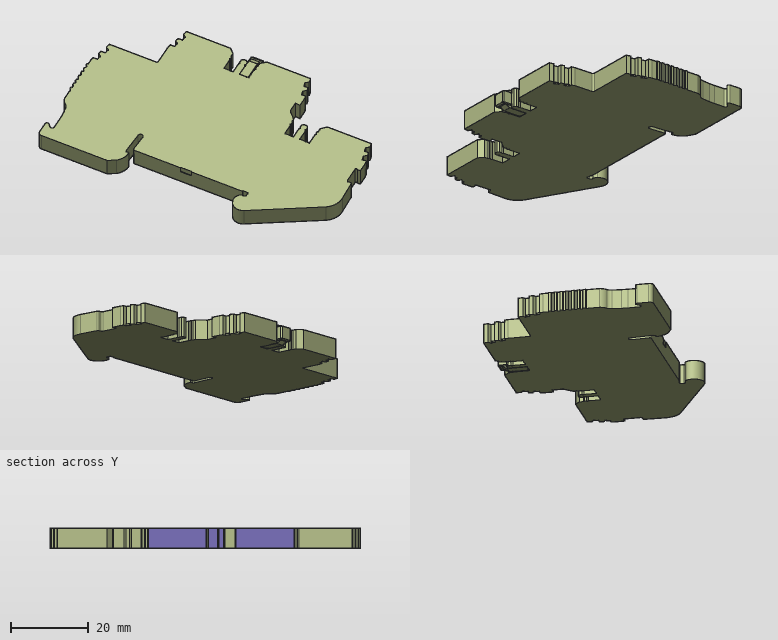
import cadquery as cq
import math


LENGTH = 79.8
HEIGHT = 49.7
THICKNESS = 5.2
MARGIN = 1.6

UPPER_DECK = 49.0
LOWER_DECK = 36.1
UPPER_LEFT = 16.1
UPPER_RIGHT = 55.45
LOWER_LEFT = 0.5
LOWER_RIGHT = 79.55
DECK_CORNER_RADIUS = 0.4

RAIL_SEAT = 6.3
RAIL_LEFT = 24.25
RAIL_RIGHT = 57.4
RAIL_CORNER_RADIUS = 0.4
NOSE_RADIUS = 2.8
NOSE_X = 57.8
NOSE_LIFT = 0.15
NOSE_Y = NOSE_RADIUS + NOSE_LIFT
NOSE_END_ANGLE = math.radians(145)
SLOPE_ANGLE = math.radians(30.5)

SLOT_DEPTH_TO_RIB = 5.0
SLOT_MOUTH_HEIGHT = 4.3
SLOT_MOUTH_STEP = 0.2
SLOT_MOUTH_CHAMFER = 1.35
DIMPLE_HEIGHT = 3.5
DIMPLE_RADIUS = 0.2
UPPER_SLOT_FLOOR = 42.05
UPPER_SLOT_LEFT = 32.2
UPPER_RIB_LEFT = 34.9
UPPER_RIB_RIGHT = 36.7
UPPER_SLOT_RIGHT = 39.4
LOWER_SLOT_FLOOR = 29.05
LOWER_SLOT_LEFT = 56.4
LOWER_RIB_LEFT = 58.9
LOWER_RIB_RIGHT = 60.7
LOWER_SLOT_RIGHT = 63.5
RIB_CORNER = 0.5

TOOTH_COUNT = 2
TOOTH_SHIFT = 0.8
FIRST_LEDGE = 3.1
TOOTH_PITCH = 2.9
TOOTH_TIP_HEIGHT = 1.8
TOOTH_ROOT_HEIGHT = 1.3
TOOTH_TIP_OUT = 0.2
TOOTH_ROOT_OUT = -0.6
TOOTH_LEDGE_OUT = -0.4
LATCH_INSET = 1.75
LATCH_END_SLOPE = 0.95
LATCH_WEB_THICKNESS = 0.5
LATCH_WEB_REACH = 0.2
LATCH_WEB_HEIGHT = 0.95

GRIP_COUNT = 7
GRIP_PITCH = 1.5
GRIP_FIRST = 18.1
GRIP_WIDTH = 0.95
GRIP_CREST = 0.6
GRIP_PROUD = 0.3

SEAT_POCKET_LEFT = 37.9
SEAT_POCKET_WIDTH = 3.2
SEAT_POCKET_HEIGHT = 1.5
SEAT_POCKET_DEPTH = 0.15
SEAT_POCKET_RADIUS = 0.4

PLUG_GAP = 0.2
PLUG_RECESS = 0.1
PLUG_FOOT_RADIUS = 0.4
PLUG_HEAD_LEFT = 36.3
PLUG_HEAD_WIDTH = 3.6
PLUG_HEAD_THICKNESS = 3.7
PLUG_HEAD_BOTTOM = 47.1
PLUG_HEAD_CHAMFER = 0.2
PLUG_NOSE_LENGTH = 0.5
PLUG_RAMP_BOTTOM = 47.3
PLUG_RAMP_TOP = 48.75


def plate(points, thickness=THICKNESS):
    """Closed polygon in XY, extruded upward from the bottom face."""
    return cq.Workplane("XY").polyline(points).close().extrude(thickness)


def block(left, right, bottom, top):
    """Rectangular plate given by its sides."""
    return plate([(left, bottom), (right, bottom), (right, top), (left, top)])


def make_body():
    """Outer outline with both decks, the hooked foot and the sloped nose."""
    slope_x = NOSE_X + NOSE_RADIUS * math.sin(SLOPE_ANGLE)
    slope_y = NOSE_Y - NOSE_RADIUS * math.cos(SLOPE_ANGLE)
    nose_end_x = NOSE_X + NOSE_RADIUS * math.cos(NOSE_END_ANGLE)
    nose_end_y = NOSE_Y + NOSE_RADIUS * math.sin(NOSE_END_ANGLE)
    slope_end_x = 77.4
    slope_end_y = slope_y + (slope_end_x - slope_x) * math.tan(SLOPE_ANGLE)
    shoulder = 34.5
    recess = 78.1
    recess_bottom = 21.6
    recess_top = 26.4
    foot_radius = 1.0
    foot_mid = foot_radius * (1 - math.sqrt(0.5))

    return (
        cq.Workplane("XY")
        .moveTo(foot_radius, 0)
        .threePointArc((foot_mid, foot_mid), (0, foot_radius))
        .lineTo(0, 4.15)
        .threePointArc((0.5, 4.6), (0.95, 4.5))
        .lineTo(1.6, 3.75)
        .threePointArc((2.3, 3.6), (2.6, 4.15))
        .lineTo(2.6, 7.2)
        .lineTo(2.55, 8.85)
        .lineTo(2.2, 11.25)
        .threePointArc((2.1, 11.9), (1.7, 12.45))
        .threePointArc((0.8, 13.3), (LOWER_LEFT, 14.2))
        .lineTo(LOWER_LEFT, LOWER_DECK)
        .lineTo(UPPER_LEFT - DECK_CORNER_RADIUS, LOWER_DECK)
        .radiusArc((UPPER_LEFT, LOWER_DECK + DECK_CORNER_RADIUS), -DECK_CORNER_RADIUS)
        .lineTo(UPPER_LEFT, UPPER_DECK)
        .lineTo(UPPER_RIGHT, UPPER_DECK)
        .lineTo(UPPER_RIGHT, 39.5)
        .lineTo(54.1, 39.65)
        .lineTo(54.1, 36.7)
        .lineTo(LOWER_SLOT_LEFT - SLOT_MOUTH_STEP, shoulder)
        .lineTo(LOWER_SLOT_RIGHT, shoulder)
        .lineTo(LOWER_SLOT_RIGHT, LOWER_DECK)
        .lineTo(LOWER_RIGHT, LOWER_DECK)
        .lineTo(LOWER_RIGHT, recess_top)
        .lineTo(78.7, recess_top)
        .threePointArc((78.3, 26.6), (recess, 26.2))
        .lineTo(recess, 22.0)
        .threePointArc((78.2, 21.8), (78.5, recess_bottom))
        .lineTo(79.15, recess_bottom)
        .threePointArc((79.5, 21.5), (LOWER_RIGHT, 21.15))
        .lineTo(LENGTH, 15.9)
        .threePointArc((79.2, 13.3), (slope_end_x, slope_end_y))
        .lineTo(slope_x, slope_y)
        .threePointArc((NOSE_X - NOSE_RADIUS, NOSE_Y), (nose_end_x, nose_end_y))
        .threePointArc((56.0, 4.95), (56.65, 5.1))
        .threePointArc((57.2, 5.2), (RAIL_RIGHT, 5.7))
        .lineTo(RAIL_RIGHT, 6.55)
        .lineTo(55.85, 6.55)
        .lineTo(55.85, RAIL_SEAT)
        .lineTo(RAIL_LEFT + RAIL_CORNER_RADIUS, RAIL_SEAT)
        .radiusArc((RAIL_LEFT, RAIL_SEAT + RAIL_CORNER_RADIUS), RAIL_CORNER_RADIUS)
        .lineTo(24.5, 11.3)
        .threePointArc((23.85, 12.05), (23.1, 11.3))
        .lineTo(22.8, 5.4)
        .threePointArc((23.0, 5.0), (23.45, 4.95))
        .lineTo(23.85, 4.8)
        .threePointArc((23.45, 3.0), (22.1, 1.2))
        .lineTo(19.95, 0)
        .close()
        .extrude(THICKNESS)
    )


def make_latch(deck_corner_x, deck, outward):
    """Cutter that shapes the hooked teeth, and the thin webs left in their notches.

    outward is -1 for a left corner and +1 for a right corner.
    """
    def place(points):
        return [(deck_corner_x + outward * out, deck + up) for out, up in points]

    edge = [(0, MARGIN), (0, 0)]
    webs = cq.Workplane("XY")
    for tooth in range(TOOTH_COUNT):
        shift = tooth * TOOTH_SHIFT
        ledge = -FIRST_LEDGE - tooth * TOOTH_PITCH
        edge += [
            (shift + TOOTH_TIP_OUT, ledge + TOOTH_TIP_HEIGHT),
            (shift + TOOTH_ROOT_OUT, ledge + TOOTH_ROOT_HEIGHT),
            (shift + TOOTH_LEDGE_OUT, ledge),
            (shift + TOOTH_SHIFT, ledge),
        ]
        web_inner = shift + TOOTH_ROOT_OUT
        web_outer = shift + TOOTH_LEDGE_OUT + LATCH_WEB_REACH
        web = plate(place([
            (web_inner, ledge),
            (web_outer, ledge),
            (web_outer - LATCH_WEB_REACH, ledge + LATCH_WEB_HEIGHT),
            (web_inner, ledge + LATCH_WEB_HEIGHT),
        ]), LATCH_WEB_THICKNESS)
        webs = webs.add(web)
    end = ledge - LATCH_END_SLOPE
    edge += [
        (LATCH_INSET, end),
        (LATCH_INSET + MARGIN, end),
        (LATCH_INSET + MARGIN, MARGIN),
    ]
    return plate(place(edge)), webs.combine()


def make_dimples(wall_positions, floor):
    """Small round dimples in the slot walls."""
    points = [(x, floor + DIMPLE_HEIGHT) for x in wall_positions]
    return cq.Workplane("XY").pushPoints(points).circle(DIMPLE_RADIUS).extrude(THICKNESS)


def make_slot_mouth(left, right, floor, deck):
    """Twin jumper opening from the floor to the deck, widened and chamfered at the top."""
    wide_left = left - SLOT_MOUTH_STEP
    wide_right = right + SLOT_MOUTH_STEP
    step = floor + SLOT_MOUTH_HEIGHT
    chamfer_start = deck - SLOT_MOUTH_CHAMFER
    return plate([
        (left, floor),
        (right, floor),
        (right, step),
        (wide_right, step + SLOT_MOUTH_STEP),
        (wide_right, chamfer_start),
        (wide_right + SLOT_MOUTH_CHAMFER, deck),
        (wide_left - SLOT_MOUTH_CHAMFER, deck),
        (wide_left, chamfer_start),
        (wide_left, step + SLOT_MOUTH_STEP),
        (left, step),
    ])


def make_rib(left, right, floor):
    """Divider that stands between the two jumper slots."""
    rib = block(left, right, floor - MARGIN, floor + SLOT_DEPTH_TO_RIB)
    return rib.faces(">Y").edges("|Z").chamfer(RIB_CORNER)


def make_grip_ribs():
    """Low flat-topped ribs on the left side."""
    ribs = cq.Workplane("XY")
    for index in range(GRIP_COUNT):
        middle = GRIP_FIRST + index * GRIP_PITCH
        rib = plate([
            (LOWER_LEFT, middle + GRIP_WIDTH / 2),
            (LOWER_LEFT - GRIP_PROUD, middle + GRIP_CREST / 2),
            (LOWER_LEFT - GRIP_PROUD, middle - GRIP_CREST / 2),
            (LOWER_LEFT, middle - GRIP_WIDTH / 2),
            (LOWER_LEFT + GRIP_PROUD, middle),
        ])
        ribs = ribs.add(rib)
    return ribs.combine()


def make_seat_pocket():
    """Shallow pocket in the rail seat, open to the top face."""
    pocket = cq.Workplane("XY").box(
        SEAT_POCKET_WIDTH, SEAT_POCKET_DEPTH + MARGIN, SEAT_POCKET_HEIGHT, centered=False
    )
    pocket = pocket.faces("<Z").edges("|Y").fillet(SEAT_POCKET_RADIUS)
    return pocket.translate((SEAT_POCKET_LEFT, RAIL_SEAT - MARGIN, THICKNESS - SEAT_POCKET_HEIGHT))


def make_plug():
    """Plug with a stem standing in the slot and a chamfered head above the deck."""
    stem_right = UPPER_SLOT_RIGHT - PLUG_GAP
    stem_top = THICKNESS - PLUG_RECESS
    head_low = (THICKNESS - PLUG_HEAD_THICKNESS) / 2
    head_high = head_low + PLUG_HEAD_THICKNESS

    stem = (
        cq.Workplane("YZ")
        .polyline([
            (UPPER_SLOT_FLOOR, PLUG_RECESS),
            (PLUG_RAMP_BOTTOM, PLUG_RECESS),
            (PLUG_RAMP_TOP, head_low),
            (PLUG_RAMP_TOP, head_high),
            (PLUG_RAMP_BOTTOM, stem_top),
            (UPPER_SLOT_FLOOR, stem_top),
        ])
        .close()
        .extrude(stem_right - UPPER_RIB_RIGHT)
        .translate((UPPER_RIB_RIGHT, 0, 0))
    )
    stem = stem.faces("<Y").edges("|Z").fillet(PLUG_FOOT_RADIUS)

    head = cq.Workplane("XY").box(
        PLUG_HEAD_WIDTH, HEIGHT - PLUG_HEAD_BOTTOM, PLUG_HEAD_THICKNESS, centered=False
    )
    head = head.edges("|Y").chamfer(PLUG_HEAD_CHAMFER)
    head = head.faces(">Y").chamfer(PLUG_HEAD_CHAMFER, PLUG_NOSE_LENGTH)
    return stem.union(head.translate((PLUG_HEAD_LEFT, PLUG_HEAD_BOTTOM, head_low)))


result = make_body()

upper_walls = (UPPER_SLOT_LEFT, UPPER_RIB_LEFT, UPPER_RIB_RIGHT, UPPER_SLOT_RIGHT)
lower_walls = (LOWER_SLOT_LEFT, LOWER_RIB_LEFT, LOWER_RIB_RIGHT, LOWER_SLOT_RIGHT)
for walls, floor, deck in (
    (upper_walls, UPPER_SLOT_FLOOR, UPPER_DECK),
    (lower_walls, LOWER_SLOT_FLOOR, LOWER_DECK),
):
    left, rib_left, rib_right, right = walls
    result = result.cut(make_slot_mouth(left, right, floor, deck))
    result = result.union(make_rib(rib_left, rib_right, floor))
    result = result.cut(make_dimples(walls, floor))

for side_x, deck, outward in (
    (UPPER_LEFT, UPPER_DECK, -1),
    (UPPER_RIGHT, UPPER_DECK, 1),
    (LOWER_LEFT, LOWER_DECK, -1),
    (LOWER_RIGHT, LOWER_DECK, 1),
):
    cutter, webs = make_latch(side_x - outward * LATCH_INSET, deck, outward)
    result = result.cut(cutter).union(webs)

result = result.union(make_grip_ribs())
result = result.cut(make_seat_pocket())
result = result.union(make_plug())